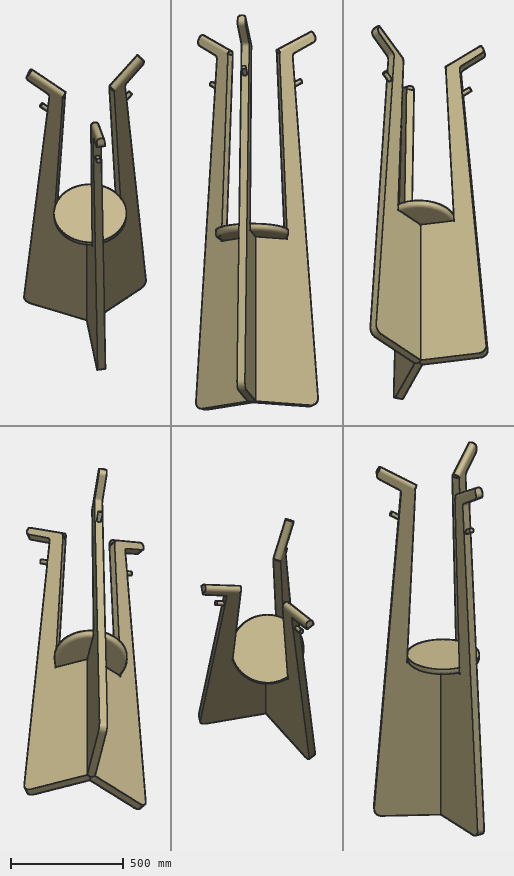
import cadquery as cq
import math

stand_height = 1703.0
leg_angles = (60, 180, 300)

leg_thickness = 35.0
half_thickness = leg_thickness / 2
foot_reach = 312.0
foot_fillet = 34.0
outer_knee_reach = 187.0
outer_knee_height = 1590.0
inner_knee_reach = 125.0
knee_fillet = 20.0

arm_slope = math.radians(30)
arm_depth = 48.0
arm_tip_reach = 281.0
arm_length = 187.0
tip_fillet = 22.0
arm_edge_fillet = 17.0

seat_radius = 162.0
seat_bottom = 748.0
seat_thickness = 30.0
seat_fillet = 17.0

peg_diameter = 20.0
peg_root_height = 1455.0
peg_length = 41.0

arm_out = (math.cos(arm_slope), math.sin(arm_slope))
arm_down = (math.sin(arm_slope), -math.cos(arm_slope))
outer_edge_lean = (foot_reach - outer_knee_reach) / outer_knee_height


def offset(point, direction, distance):
    """Move a leg-plane point a distance along a unit direction."""
    return (point[0] + direction[0] * distance, point[1] + direction[1] * distance)


def rod(start, length, radius):
    """Cylinder in the leg plane, running outward and up at the arm's slope."""
    return cq.Workplane(cq.Solid.makeCylinder(
        radius, length,
        cq.Vector(start[0], 0, start[1]),
        cq.Vector(arm_out[0], 0, arm_out[1]),
    ))


def make_leg():
    tip_top = (arm_tip_reach, stand_height)
    heel_top = offset(tip_top, arm_out, -arm_length)
    heel_bottom = offset(heel_top, arm_down, arm_edge_fillet)
    tip_bottom = offset(tip_top, arm_down, arm_depth)
    inner_knee_height = heel_bottom[1] - (heel_bottom[0] - inner_knee_reach) * math.tan(arm_slope)
    outline = [
        (0, 0),
        (foot_reach, 0),
        (outer_knee_reach, outer_knee_height),
        tip_bottom,
        tip_top,
        heel_top,
        heel_bottom,
        (inner_knee_reach, inner_knee_height),
        (seat_radius, seat_bottom),
        (0, seat_bottom),
    ]
    plate = cq.Workplane("XZ").polyline(outline).close().extrude(half_thickness, both=True)

    def round_corner(body, corner, radius):
        return body.edges(cq.NearestToPointSelector((corner[0], 0, corner[1]))).fillet(radius)

    plate = round_corner(plate, (foot_reach, 0), foot_fillet)
    plate = round_corner(plate, (outer_knee_reach, outer_knee_height), knee_fillet)
    plate = round_corner(plate, tip_bottom, tip_fillet)

    down_axis = cq.Vector(arm_down[0], 0, arm_down[1])
    out_axis = cq.Vector(arm_out[0], 0, arm_out[1])
    upper_face = plate.faces(cq.DirectionMinMaxSelector(down_axis, False))
    plate = upper_face.edges(cq.ParallelDirSelector(out_axis)).fillet(arm_edge_fillet)

    mitre_depth = half_thickness / math.tan(math.radians(60))
    mitre = (
        cq.Workplane("XY")
        .polyline([
            (0, 0),
            (mitre_depth, half_thickness),
            (foot_reach, half_thickness),
            (foot_reach, -half_thickness),
            (mitre_depth, -half_thickness),
        ])
        .close()
        .extrude(stand_height)
    )
    return plate.intersect(mitre)


def make_peg(leg):
    """Peg whose root is cut to the leaning outer edge of the leg."""
    root = (foot_reach - outer_edge_lean * peg_root_height, peg_root_height)
    start = offset(root, arm_out, -peg_diameter)
    return rod(start, peg_diameter + peg_length, peg_diameter / 2).cut(leg)


def make_seat():
    return (
        cq.Workplane("XY")
        .workplane(offset=seat_bottom)
        .circle(seat_radius)
        .extrude(seat_thickness)
        .faces("<Z")
        .edges()
        .fillet(seat_fillet)
    )


def around_axis(solid):
    """One copy of a solid for each leg direction."""
    return [solid.rotate((0, 0, 0), (0, 0, 1), angle) for angle in leg_angles]


leg = make_leg()
peg = make_peg(leg)
legs = around_axis(leg.solids().val())
pegs = around_axis(peg.solids().val())

seat = make_seat()
for placed_leg in legs:
    seat = seat.cut(cq.Workplane(placed_leg))

result = cq.Compound.makeCompound([*legs, *pegs, seat.solids().val()])